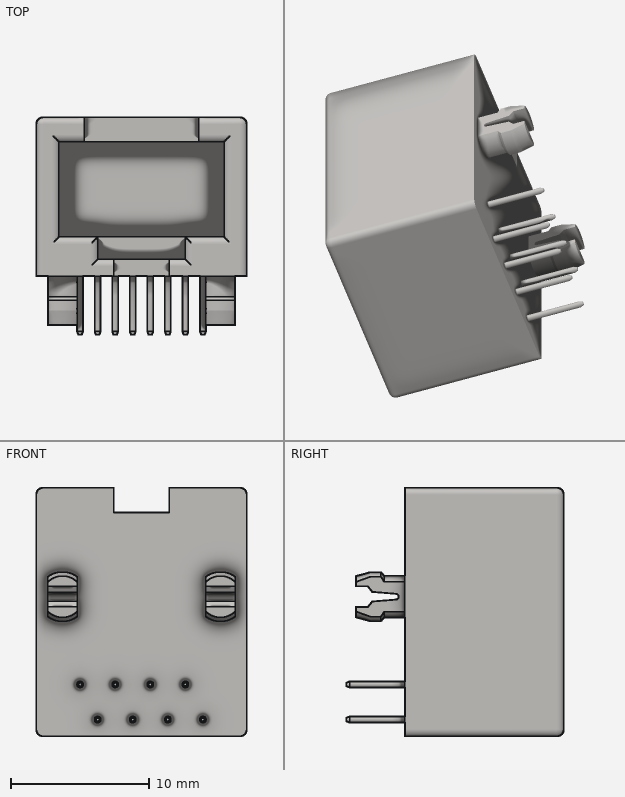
import cadquery as cq

width = 15.24
depth = 11.5
height = 18.0
edge_radius = 0.5

cavity_width = 11.94
cavity_front = 2.84
cavity_back = 9.72
floor_thickness = 1.65
mouth_radius = 0.5

latch_width = 6.32
latch_front = 1.23
latch_depth = 8.0

front_notch_width = 4.0
front_notch_depth = 1.78
back_notch_width = 8.25
back_notch_depth = 2.5

pin_count = 8
pin_pitch = 1.27
row_spacing = 2 * pin_pitch
lower_row_z = 1.22
upper_row_z = lower_row_z + row_spacing
pin_diameter = 0.45
pin_length = 4.25
pin_tip_chamfer = 0.1
pin_tip_length = 0.25

peg_spacing = 9 * pin_pitch
peg_z = upper_row_z + 5 * pin_pitch
peg_thickness = 2.12
peg_length = 3.55
peg_shaft_radius = 1.52
peg_shaft_length = 1.5
peg_head_radius = 1.79
peg_head_start = 1.74
peg_head_end = 2.5
peg_tip_radius = 1.5

slot_start = 0.46
slot_end_half = 0.2
slot_throat = 2.36
slot_throat_half = 0.34
slot_mouth = 2.69
slot_mouth_half = 0.74


def box(size_x, y_min, y_max, z_min, z_max):
    """Block centred on X between the given Y and Z limits."""
    return (
        cq.Workplane("XY")
        .box(size_x, y_max - y_min, z_max - z_min, centered=(True, False, False))
        .translate((0, y_min, z_min))
    )


def make_shell():
    """Block with every edge rounded except those of the front face, hollowed from the top."""
    block = box(width, 0, depth, 0, height)
    block = block.edges("|Y or >Y").fillet(edge_radius)
    cavity = box(cavity_width, cavity_front, cavity_back, floor_thickness, height)
    latch = box(latch_width, latch_front, cavity_front, height - latch_depth, height)
    shell = block.cut(cavity).cut(latch)
    mouth = shell.faces(">Z").val().innerWires()[0]
    shell = shell.newObject(mouth.Edges()).fillet(mouth_radius)
    front_notch = box(front_notch_width, 0, cavity_front, height - front_notch_depth, height)
    back_notch = box(back_notch_width, cavity_back, depth, height - back_notch_depth, height)
    return shell.cut(front_notch).cut(back_notch)


def make_peg(x):
    """Barbed round peg pointing along -Y, cut flat on both sides and split by a tapered slot."""
    barb = (
        cq.Workplane("YZ")
        .polyline([
            (0, 0),
            (0, peg_shaft_radius),
            (-peg_shaft_length, peg_shaft_radius),
            (-peg_head_start, peg_head_radius),
            (-peg_head_end, peg_head_radius),
            (-peg_length, peg_tip_radius),
            (-peg_length, 0),
        ])
        .close()
        .revolve(360, (0, 0), (1, 0))
    )
    flats = box(peg_thickness, -peg_length, 0, -peg_head_radius, peg_head_radius)
    slot_shoulder = slot_start + slot_end_half
    slot = (
        cq.Workplane("YZ")
        .moveTo(-slot_shoulder, slot_end_half)
        .lineTo(-slot_throat, slot_throat_half)
        .lineTo(-slot_mouth, slot_mouth_half)
        .lineTo(-peg_length, slot_mouth_half)
        .lineTo(-peg_length, -slot_mouth_half)
        .lineTo(-slot_mouth, -slot_mouth_half)
        .lineTo(-slot_throat, -slot_throat_half)
        .lineTo(-slot_shoulder, -slot_end_half)
        .threePointArc((-slot_start, 0), (-slot_shoulder, slot_end_half))
        .close()
        .extrude(peg_thickness / 2, both=True)
    )
    return barb.intersect(flats).cut(slot).translate((x, 0, peg_z))


def make_pin(x, z):
    """Round pin pointing along -Y from the front face, with a tapered tip."""
    return (
        cq.Workplane("XZ")
        .circle(pin_diameter / 2)
        .extrude(pin_length)
        .faces("<Y").chamfer(pin_tip_length, pin_tip_chamfer)
        .translate((x, 0, z))
    )


housing = make_shell()
for x in (-peg_spacing / 2, peg_spacing / 2):
    housing = housing.union(make_peg(x))

pins = []
for i in range(pin_count):
    x = (i - (pin_count - 1) / 2) * pin_pitch
    z = upper_row_z if i % 2 == 0 else lower_row_z
    pins.append(make_pin(x, z).val())

result = cq.Compound.makeCompound([housing.val(), *pins])